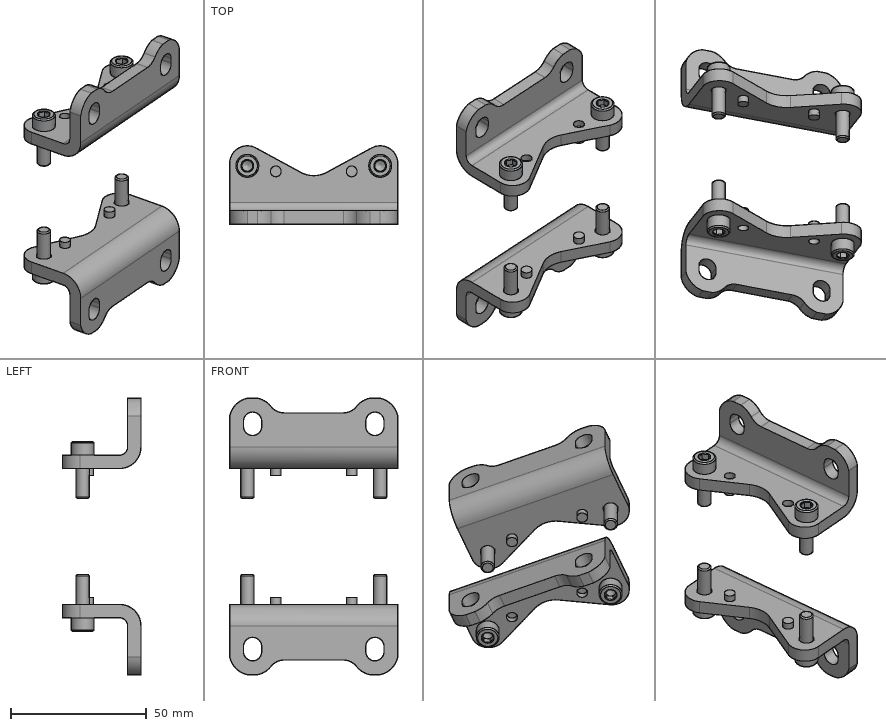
import cadquery as cq
import math


width = 62.0
foot_depth = 29.0
leg_height = 26.0
half_gap = 25.0
thickness = 5.0
inner_bend_radius = 3.0
outer_bend_radius = inner_bend_radius + thickness

lobe_radius = 6.5
notch_radius = 10.0
notch_slope = math.radians(28.5)

ear_radius = 8.7
ear_inset = 8.5
web_drop = 5.4
web_fillet_radius = 6.0

slot_height = 16.5
slot_width = 6.6
slot_length = 8.6

screw_inset = 6.5
screw_setback = 7.4
screw_x = width / 2 - screw_inset
screw_y = foot_depth - screw_setback
clearance_diameter = 5.5
shank_diameter = 5.0
shank_length = 16.0
tip_chamfer = 0.5
head_diameter = 8.5
head_height = 5.0
head_chamfer = 0.5
socket_across_flats = 4.0
socket_depth = 2.5
socket_mouth_chamfer = 0.36
drill_point_angle = 120

boss_x = 14.0
boss_setback = 9.5
boss_y = foot_depth - boss_setback
boss_diameter = 4.0
boss_height = 2.5


def bent_strip():
    """L-shaped strip of constant thickness, running across the full width."""
    half_width = width / 2
    foot = cq.Workplane("XY").box(width, foot_depth, thickness, centered=(True, False, False))
    leg = cq.Workplane("XY").box(width, thickness, leg_height, centered=(True, False, False))
    strip = foot.union(leg)
    outer_corner = cq.selectors.NearestToPointSelector((0, 0, 0))
    inner_corner = cq.selectors.BoxSelector(
        (-half_width, thickness / 2, thickness / 2),
        (half_width, thickness * 1.5, thickness * 1.5),
    )
    strip = strip.edges("|X").edges(inner_corner).fillet(inner_bend_radius)
    return strip.edges("|X").edges(outer_corner).fillet(outer_bend_radius)


def foot_outline():
    """Tall prism with the plan shape of the foot."""
    half_width = width / 2
    apex_y = foot_depth + lobe_radius * (1 / math.cos(notch_slope) + math.tan(notch_slope) - 1)
    notch_y = apex_y - half_width * math.tan(notch_slope)
    prism = (
        cq.Workplane("XY")
        .moveTo(-half_width, 0)
        .lineTo(half_width, 0)
        .lineTo(half_width, apex_y)
        .lineTo(0, notch_y)
        .lineTo(-half_width, apex_y)
        .close()
        .extrude(leg_height)
    )
    lobes = prism.edges("|Z").edges(">Y")
    prism = lobes.fillet(lobe_radius)
    notch = cq.selectors.NearestToPointSelector((0, notch_y, leg_height / 2))
    return prism.edges("|Z").edges(notch).fillet(notch_radius)


def leg_outline():
    """Deep prism with the front shape of the leg, drawn as one half and mirrored."""
    half_width = width / 2
    ear_x = half_width - ear_inset
    ear_z = leg_height - ear_inset
    half_flat = math.sqrt(ear_radius**2 - ear_inset**2)
    web_z = leg_height - web_drop
    fillet_rise = web_z + web_fillet_radius - ear_z
    centre_distance = ear_radius + web_fillet_radius
    web_half_length = ear_x - math.sqrt(centre_distance**2 - fillet_rise**2)
    touch_ratio = ear_radius / centre_distance
    touch_x = ear_x + touch_ratio * (web_half_length - ear_x)
    touch_z = ear_z + touch_ratio * fillet_rise
    return (
        cq.Workplane("XZ")
        .lineTo(half_width, 0)
        .lineTo(half_width, ear_z + half_flat)
        .radiusArc((ear_x + half_flat, leg_height), -ear_radius)
        .lineTo(ear_x - half_flat, leg_height)
        .radiusArc((touch_x, touch_z), -ear_radius)
        .radiusArc((web_half_length, web_z), web_fillet_radius)
        .lineTo(0, web_z)
        .mirrorY()
        .extrude(-foot_depth)
    )


def leg_slots():
    """Pair of upright mounting slots through the leg, one below each ear centre."""
    slot_x = width / 2 - ear_inset
    return (
        cq.Workplane("XZ")
        .pushPoints([(-slot_x, slot_height), (slot_x, slot_height)])
        .slot2D(slot_length, slot_width, angle=90)
        .extrude(-thickness)
    )


def foot_cylinders(x, y, diameter, start_z, length):
    """A mirrored pair of vertical cylinders on the foot."""
    return (
        cq.Workplane("XY", origin=(0, 0, start_z))
        .pushPoints([(-x, y), (x, y)])
        .circle(diameter / 2)
        .extrude(length)
    )


def make_bracket():
    """Upper bracket with its foot mating face at the edge of the gap."""
    bracket = bent_strip().intersect(foot_outline()).intersect(leg_outline())
    bracket = bracket.cut(leg_slots())
    bracket = bracket.cut(foot_cylinders(screw_x, screw_y, clearance_diameter, 0, thickness))
    bracket = bracket.cut(foot_cylinders(boss_x, boss_y, boss_diameter, thickness, -boss_height))
    bracket = bracket.union(foot_cylinders(boss_x, boss_y, boss_diameter, 0, -boss_height))
    return bracket.translate((0, 0, half_gap))


def hex_socket():
    """Hexagonal recess with a countersunk mouth and a drill point, opening at the head top."""
    corner_diameter = socket_across_flats / math.cos(math.pi / 6)
    flat_radius = socket_across_flats / 2
    point_depth = flat_radius / math.tan(math.radians(drill_point_angle / 2))
    socket_floor = head_height - socket_depth
    hexagon = (
        cq.Workplane("XY", origin=(0, 0, socket_floor))
        .transformed(rotate=(0, 0, 90))
        .polygon(6, corner_diameter)
        .extrude(socket_depth)
    )
    mouth_radius = flat_radius + socket_mouth_chamfer
    mouth = cq.Solid.makeCone(
        flat_radius, mouth_radius, socket_mouth_chamfer, pnt=(0, 0, head_height - socket_mouth_chamfer)
    )
    drill_point = cq.Solid.makeCone(flat_radius, 0, point_depth, pnt=(0, 0, socket_floor), dir=(0, 0, -1))
    return hexagon.union(cq.Workplane(mouth)).union(cq.Workplane(drill_point))


def make_screw(x):
    """Cap screw of the upper bracket, with its head seated on the back of the foot."""
    head = cq.Workplane("XY").circle(head_diameter / 2).extrude(head_height)
    head = head.faces(">Z").edges().chamfer(head_chamfer)
    shank = cq.Workplane("XY").circle(shank_diameter / 2).extrude(-shank_length)
    shank = shank.faces("<Z").edges().chamfer(tip_chamfer)
    screw = head.union(shank).cut(hex_socket())
    return screw.translate((x, screw_y, half_gap + thickness))


upper_bracket = make_bracket()
lower_bracket = upper_bracket.mirror("XY")

screws = []
for side_x in (-screw_x, screw_x):
    upper_screw = make_screw(side_x)
    screws.append(upper_screw.val())
    screws.append(upper_screw.mirror("XY").val())

result = cq.Compound.makeCompound([upper_bracket.val(), lower_bracket.val(), *screws])